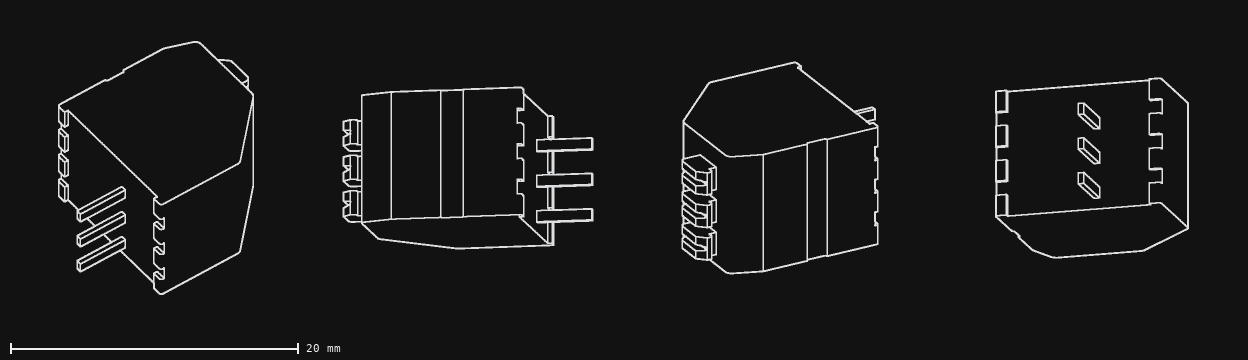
import cadquery as cq
import math


overall_height = 16.7

pole_count = 3
pole_pitch = 2.5

housing_width = 12.0
housing_height = 11.24
housing_length = 9.0
left_bevel_start = 8.9
left_bevel_angle = 20.0
right_bevel_run = 4.68
corner_radius = 0.5

groove_low = 3.82
groove_high = 5.4
groove_depth = 0.15

foot_width = 0.82
foot_height = 0.3
foot_length = housing_length - pole_count * pole_pitch
foot_radius = 0.2

pin_length = 3.89
pin_left = 7.08
pin_thickness = 0.4
pin_width = 0.78
pin_offset = -0.82

lever_height = overall_height - pin_length - housing_height
lever_width = 1.7
lever_offset = -0.35
stem_left = 2.52
stem_right = 4.81
hook_left = 2.02
hook_clearance = 0.53
lever_chamfer_run = 0.58
lever_chamfer_rise = 0.6
hook_radius = 0.2
lever_radius = 0.3

notch_top_width = 0.5
notch_floor_width = 0.2
notch_depth = lever_chamfer_rise

middle_pole = (pole_count - 1) / 2
pole_centers = [(i - middle_pole) * pole_pitch for i in range(pole_count)]


def extrude_centered(outline, length, z_center):
    """Extrude an XY outline along Z, equally to both sides of z_center."""
    return outline.extrude(length / 2, both=True).translate((0, 0, z_center))


def make_housing():
    bevel_rise = housing_height - left_bevel_start
    left_bevel_run = bevel_rise * math.tan(math.radians(left_bevel_angle))
    outline = (
        cq.Workplane("XY")
        .moveTo(0, 0)
        .lineTo(housing_width, 0)
        .lineTo(housing_width, housing_height - right_bevel_run)
        .lineTo(housing_width - right_bevel_run, housing_height)
        .lineTo(left_bevel_run, housing_height)
        .lineTo(0, left_bevel_start)
        .close()
    )
    block = extrude_centered(outline, housing_length, 0)
    rounded_corners = [
        (left_bevel_run, housing_height),
        (housing_width - right_bevel_run, housing_height),
        (housing_width, housing_height - right_bevel_run),
    ]
    for x, y in rounded_corners:
        edge = cq.selectors.NearestToPointSelector((x, y, 0))
        block = block.edges("|Z").edges(edge).fillet(corner_radius)
    return block


def make_groove():
    outline = (
        cq.Workplane("XY")
        .moveTo(0, groove_low)
        .radiusArc((groove_depth, groove_low + groove_depth), -groove_depth)
        .lineTo(groove_depth, groove_high - groove_depth)
        .radiusArc((0, groove_high), -groove_depth)
        .close()
    )
    return extrude_centered(outline, housing_length, 0)


def make_foot(x_left, outer_edge, z_center):
    outline = (
        cq.Workplane("XY")
        .moveTo(x_left, -foot_height)
        .rect(foot_width, foot_height, centered=False)
    )
    foot = extrude_centered(outline, foot_length, z_center)
    return foot.edges("|Z and <Y").edges(outer_edge).fillet(foot_radius)


def make_pin(z_pole):
    outline = (
        cq.Workplane("XY")
        .moveTo(pin_left, -pin_length)
        .rect(pin_thickness, pin_length, centered=False)
    )
    return extrude_centered(outline, pin_width, z_pole + pin_offset)


def make_lever(z_pole):
    z_center = z_pole + lever_offset
    base = housing_height
    top = base + lever_height
    hook_bottom = base + hook_clearance
    outline = (
        cq.Workplane("XY")
        .moveTo(stem_left, base)
        .lineTo(stem_right, base)
        .lineTo(stem_right, top - lever_radius)
        .radiusArc((stem_right - lever_radius, top), -lever_radius)
        .lineTo(hook_left + lever_chamfer_run, top)
        .lineTo(hook_left, top - lever_chamfer_rise)
        .lineTo(hook_left, hook_bottom + hook_radius)
        .radiusArc((hook_left + hook_radius, hook_bottom), -hook_radius)
        .lineTo(stem_left, hook_bottom)
        .close()
    )
    lever = extrude_centered(outline, lever_width, z_center)
    notch = (
        cq.Workplane("YZ", origin=(hook_left, 0, z_center))
        .moveTo(top, -notch_top_width / 2)
        .lineTo(top, notch_top_width / 2)
        .lineTo(top - notch_depth, notch_floor_width / 2)
        .lineTo(top - notch_depth, -notch_floor_width / 2)
        .close()
        .extrude(stem_right - hook_left)
    )
    return lever.cut(notch)


result = make_housing().cut(make_groove())

first_foot_center = (foot_length - housing_length) / 2
for i in range(pole_count + 1):
    foot_center = first_foot_center + i * pole_pitch
    result = result.union(make_foot(0, "<X", foot_center))
    result = result.union(make_foot(housing_width - foot_width, ">X", foot_center))

for pole_center in pole_centers:
    result = result.union(make_pin(pole_center))
    result = result.union(make_lever(pole_center))